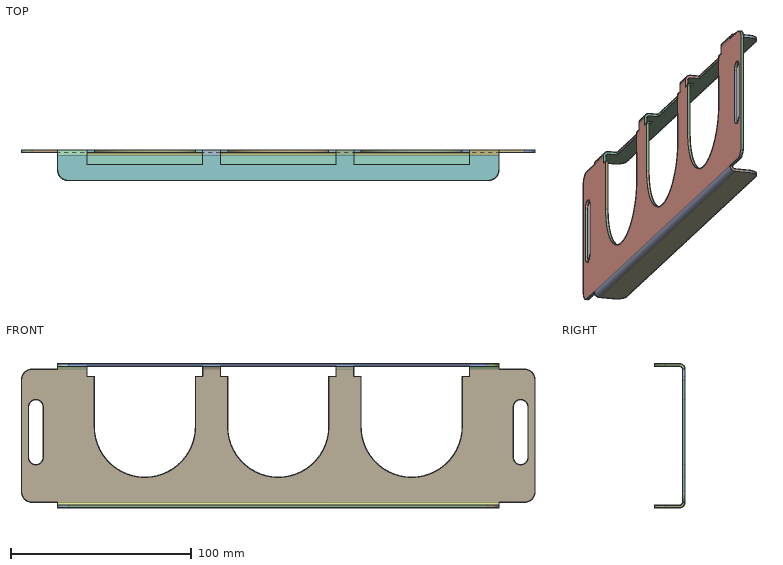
import cadquery as cq

thickness = 1.5
inner_bend_radius = 1.5
outer_bend_radius = inner_bend_radius + thickness

plate_length = 285.0
total_height = 80.0
total_depth = 17.0
plate_height = total_height - 2 * outer_bend_radius
corner_radius = 6.0
flange_length = 245.0
back_y = total_depth / 2
top_z = total_height / 2

opening_count = 3
opening_pitch = 74.0
opening_radius = 28.0
opening_center_z = 5.0

bend_cut_length = 64.0
bend_cut_height = 7.0
bend_cut_depth = 8.0

slot_width = 8.0
slot_length = 36.0
slot_edge_distance = 8.0
slot_center_z = 2.0


def make_plate():
    """Upright plate with rounded corners."""
    plate = cq.Workplane("XY").box(plate_length, thickness, plate_height)
    plate = plate.edges("|Y").fillet(corner_radius)
    return plate.translate((0, back_y - thickness / 2, 0))


def make_channel():
    """C-shaped bent channel with rounded flange corners."""
    outer = cq.Workplane("XY").box(flange_length, total_depth, total_height)
    outer = outer.edges("|X and >Y").fillet(outer_bend_radius)
    inner = cq.Workplane("XY").box(flange_length, total_depth, total_height - 2 * thickness)
    inner = inner.edges("|X and >Y").fillet(inner_bend_radius)
    channel = outer.cut(inner.translate((0, -thickness, 0)))
    return channel.edges("|Z and <Y").fillet(corner_radius)


def make_opening(center_x):
    """Cutter for one U-shaped opening and the clearance cut above it."""
    neck_height = top_z - bend_cut_height - opening_center_z
    circle = (
        cq.Workplane("XZ", origin=(center_x, back_y, opening_center_z))
        .circle(opening_radius)
        .extrude(bend_cut_depth)
    )
    neck = cq.Workplane("XY").box(
        2 * opening_radius, bend_cut_depth, neck_height, centered=(True, False, False)
    )
    neck = neck.translate((center_x, back_y - bend_cut_depth, opening_center_z))
    bend_cut = cq.Workplane("XY").box(
        bend_cut_length, bend_cut_depth, bend_cut_height, centered=(True, False, False)
    )
    bend_cut = bend_cut.translate((center_x, back_y - bend_cut_depth, top_z - bend_cut_height))
    return circle.union(neck).union(bend_cut)


def make_slot(center_x):
    """Cutter for one vertical mounting slot."""
    return (
        cq.Workplane("XZ", origin=(center_x, back_y, slot_center_z))
        .slot2D(slot_length, slot_width, 90)
        .extrude(thickness)
    )


result = make_plate().union(make_channel())

for index in range(opening_count):
    opening_x = (index - (opening_count - 1) / 2) * opening_pitch
    result = result.cut(make_opening(opening_x))

for side in (-1, 1):
    result = result.cut(make_slot(side * (plate_length / 2 - slot_edge_distance)))